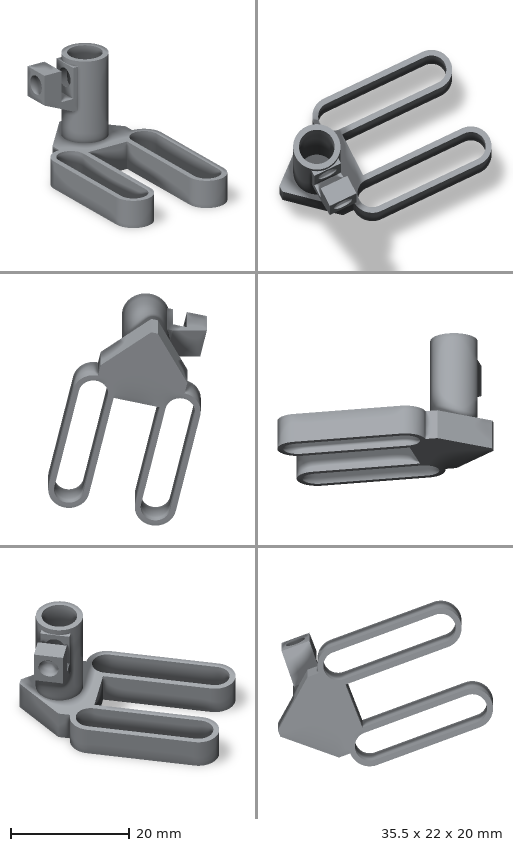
import cadquery as cq

overall_length = 35.55
overall_width = 22.0
base_height = 5.0
loop_width = 7.0
loop_wall = 1.0
tip_flat = 1.15
shoulder_x = 7.95
plate_end_x = 13.5

loop_radius = loop_width / 2
loop_y = overall_width / 2 - loop_radius
loop_length = overall_length - plate_end_x + loop_radius
loop_center_x = overall_length - loop_length / 2

post_x = 6.75
post_diameter = 8.0
bore_diameter = 6.0
post_top = 20.0

bracket_width = 5.0
bracket_reach = 10.03
gap_near = 4.12
gap_far = 6.58
gap_floor = 13.33
bracket_bottom = 11.02
taper_top = 13.55
bracket_top = 19.02
pin_diameter = 3.4
pin_z = 16.42


def make_loop(y):
    """Slot-shaped ring with its near arc centred on the end of the plate."""
    ring = (
        cq.Workplane("XY")
        .center(loop_center_x, y)
        .slot2D(loop_length, loop_width)
        .extrude(base_height)
    )
    return ring.cut(make_loop_opening(y))


def make_loop_opening(y):
    return (
        cq.Workplane("XY")
        .center(loop_center_x, y)
        .slot2D(loop_length - 2 * loop_wall, loop_width - 2 * loop_wall)
        .extrude(base_height)
    )


def make_base():
    base = (
        cq.Workplane("XY")
        .polyline([
            (0, -tip_flat / 2),
            (shoulder_x, -loop_y),
            (plate_end_x, -loop_y),
            (plate_end_x, loop_y),
            (shoulder_x, loop_y),
            (0, tip_flat / 2),
        ])
        .close()
        .extrude(base_height)
    )
    for y in (-loop_y, loop_y):
        base = base.cut(make_loop_opening(y)).union(make_loop(y))
    return base


def make_post():
    return (
        cq.Workplane("XY")
        .center(post_x, 0)
        .circle(post_diameter / 2)
        .extrude(post_top)
    )


def make_bore():
    """Post bore, ending at the top of the base plate."""
    return (
        cq.Workplane("XY", origin=(post_x, 0, base_height))
        .circle(bore_diameter / 2)
        .extrude(post_top - base_height)
    )


def make_bracket():
    """Side profile extruded across X; it starts on the post axis to merge with the post."""
    return (
        cq.Workplane("YZ", origin=(post_x, 0, 0))
        .polyline([
            (0, bracket_bottom),
            (-gap_near, bracket_bottom),
            (-bracket_reach, taper_top),
            (-bracket_reach, bracket_top),
            (-gap_far, bracket_top),
            (-gap_far, gap_floor),
            (-gap_near, gap_floor),
            (-gap_near, bracket_top),
            (0, bracket_top),
        ])
        .close()
        .extrude(bracket_width / 2, both=True)
    )


def make_pin_hole():
    """Pin hole through the bracket and the near wall of the post."""
    return (
        cq.Workplane("XZ", origin=(post_x, 0, pin_z))
        .circle(pin_diameter / 2)
        .extrude(bracket_reach)
    )


body = make_base().union(make_post()).union(make_bracket())
result = body.cut(make_bore()).cut(make_pin_hole())